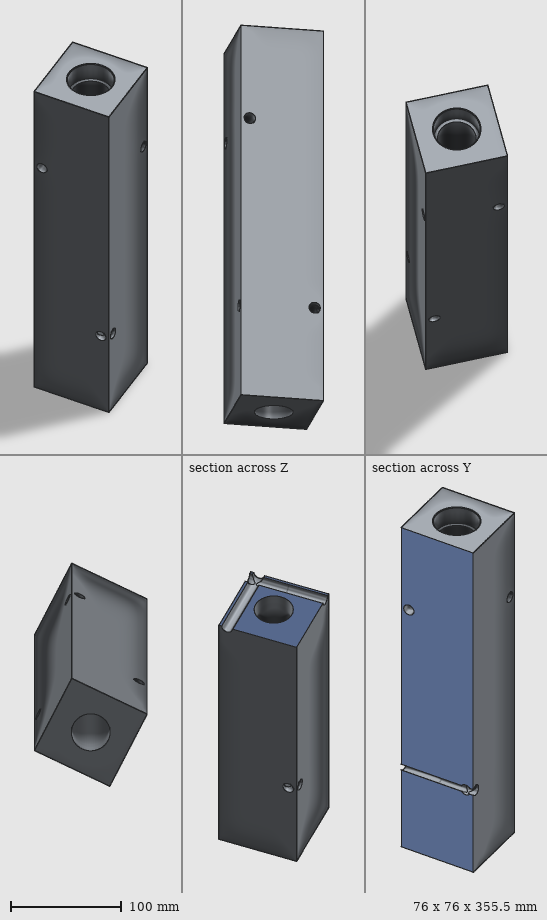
import cadquery as cq

length = 355.5
side = 76.0
edge_break = 0.25

bore_diameter = 35.0
socket_mouth_diameter = 43.7
socket_top_diameter = 42.3
socket_floor_diameter = 41.5
socket_depth = 17.5
mouth_chamfer = (socket_mouth_diameter - socket_top_diameter) / 2

cross_hole_diameter = 10.3
cross_hole_offset = 30.0
upper_hole_height = 0.75 * length
lower_hole_height = 0.25 * length


def make_block():
    """Square block with all of its outer edges lightly broken."""
    block = cq.Workplane("XY").box(side, side, length, centered=(True, True, False))
    return block.edges().chamfer(edge_break)


def make_bore():
    """Through bore that opens into the tapered, chamfered socket at the top."""
    floor_height = length - socket_depth
    return (
        cq.Workplane("XZ")
        .lineTo(bore_diameter / 2, 0)
        .lineTo(bore_diameter / 2, floor_height)
        .lineTo(socket_floor_diameter / 2, floor_height)
        .lineTo(socket_top_diameter / 2, length - mouth_chamfer)
        .lineTo(socket_mouth_diameter / 2, length)
        .lineTo(0, length)
        .close()
        .revolve(360, (0, 0, 0), (0, 1, 0))
    )


def make_cross_holes(plane, upper_offset):
    """Two through holes, on opposite sides of the bore."""
    centres = [(upper_offset, upper_hole_height), (-upper_offset, lower_hole_height)]
    return (
        cq.Workplane(plane)
        .pushPoints(centres)
        .circle(cross_hole_diameter / 2)
        .extrude(side / 2, both=True)
    )


result = (
    make_block()
    .cut(make_bore())
    .cut(make_cross_holes("XZ", -cross_hole_offset))
    .cut(make_cross_holes("YZ", cross_hole_offset))
)